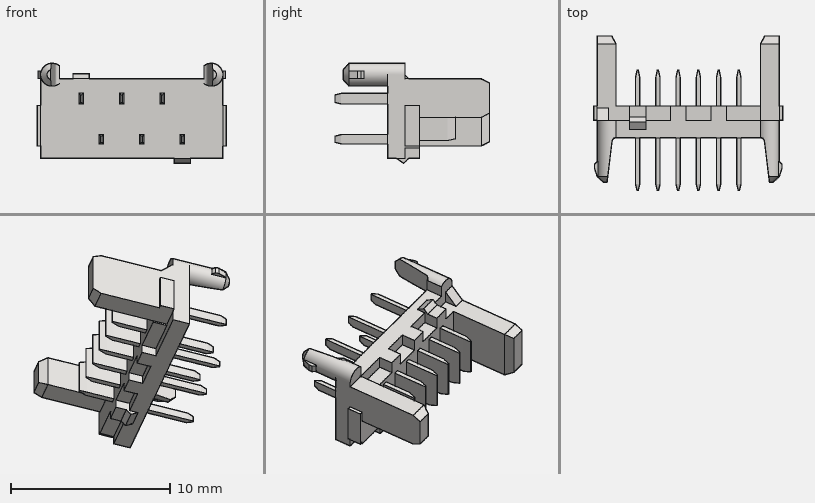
import cadquery as cq


overall_width = 11.86
plate_width = 11.43
plate_thick = 1.09
plate_height = 5.0
half_width = plate_width / 2

ledge_depth = 0.91
ledge_back = plate_thick + ledge_depth
ledge_bottom = 0.65
ledge_top = 4.19
tab_width = 0.98
ridge_tab_width = 1.04

ridge_height = 0.31
ridge_front = 0.53
ridge_peak = 1.01

arm_width = 1.2
arm_inner = half_width - arm_width
arm_end = 6.39
left_arm_bottom = 0.77
right_arm_bottom = 2.57
arm_tip_length = 0.52
arm_tip_inset = 0.27

rail_bottom = 0.77
rail_top = 3.32

peg_radius = 0.72
peg_tip_radius = 0.32
peg_x = half_width - peg_radius
peg_z = 5.25
peg_shoulder = 2.43
peg_end = 2.8
peg_root_x = 4.74
peg_end_x = 5.09
peg_root_fillet = 0.25
ramp_length = 0.78

barb_height = 0.49
barb_x = 5.9
barb_inner = half_width - peg_radius / 2
barb_root = 1.48
barb_crest_start = 1.67
barb_crest_end = 1.89

pin_pitch = 1.27
pin_count = 6
pin_width = 0.28
pin_tip_width = 0.08
pin_tip_inset = 0.11
leg_length = 3.31
leg_tip_length = 0.4
upper_leg_bottom = 3.4
upper_leg_height = 0.69
lower_leg_bottom = 0.9
lower_leg_height = 0.6
blade_end = 4.25
blade_tip_length = 0.47
blade_top = 3.88
blade_bottom = plate_height - blade_top


def block(x0, x1, y0, y1, z0, z1):
    """Box between two opposite corners."""
    return cq.Workplane("XY").box(x1 - x0, y1 - y0, z1 - z0, centered=False).translate((x0, y0, z0))


def mirrored(shape):
    """Copy of a left-hand feature on the right-hand side."""
    return shape.mirror("YZ")


def turned(shape):
    """Copy of a feature turned half a turn about the plate's mid-height Y axis."""
    return shape.rotate((0, 0, plate_height / 2), (0, 1, plate_height / 2), 180)


def profile_along_x(points, x0, x1):
    """Extrude a (y, z) outline from x0 to x1."""
    return cq.Workplane("YZ").polyline(points).close().extrude(x1 - x0).translate((x0, 0, 0))


def tab(x, width):
    """Full-height locating tab on top of the ledge."""
    return block(x - width / 2, x + width / 2, plate_thick, ledge_back, ledge_top, plate_height)


def ridge(x):
    """Triangular snap ridge along the top of the plate."""
    points = [
        (ridge_front, plate_height),
        (ridge_peak, plate_height + ridge_height),
        (ridge_peak + ridge_height, plate_height),
    ]
    return profile_along_x(points, x - ridge_tab_width / 2, x + ridge_tab_width / 2)


def left_arm(bottom, top):
    """Left guide arm whose tip slopes in at the top, bottom and inner side."""
    outer = -half_width
    inner = -arm_inner
    tip_start = arm_end - arm_tip_length
    side_outline = [
        (plate_thick, bottom),
        (tip_start, bottom),
        (arm_end, bottom + arm_tip_inset),
        (arm_end, top - arm_tip_inset),
        (tip_start, top),
        (plate_thick, top),
    ]
    plan_outline = [
        (outer, plate_thick),
        (inner, plate_thick),
        (inner, tip_start),
        (inner - arm_tip_inset, arm_end),
        (outer, arm_end),
    ]
    side = profile_along_x(side_outline, outer, inner)
    plan = cq.Workplane("XY").polyline(plan_outline).close().extrude(plate_height)
    return side.intersect(plan)


def left_peg():
    """Left snap peg: a round bar with its inner side cut away, on a pad, with a barb."""
    round_bar = (
        cq.Workplane("XY")
        .polyline([
            (0, plate_thick),
            (peg_radius, plate_thick),
            (peg_radius, -peg_shoulder),
            (peg_tip_radius, -peg_end),
            (0, -peg_end),
        ])
        .close()
        .revolve(360, (0, 0, 0), (0, 1, 0))
        .translate((-peg_x, 0, peg_z))
    )
    plan = (
        cq.Workplane("XY")
        .polyline([
            (-half_width, plate_thick),
            (-arm_inner, plate_thick),
            (-arm_inner, 0),
            (-peg_root_x, 0),
            (-peg_end_x, -peg_end),
            (-half_width, -peg_end),
        ])
        .close()
        .extrude(2 * peg_z)
        .edges(cq.NearestToPointSelector((-peg_root_x, 0, peg_z)))
        .fillet(peg_root_fillet)
    )
    pad = block(-half_width, -arm_inner, 0, plate_thick, plate_height - peg_radius, peg_z)
    barb = (
        cq.Workplane("XY")
        .polyline([
            (-barb_inner, -barb_root),
            (-half_width, -barb_root),
            (-barb_x, -barb_crest_start),
            (-barb_x, -barb_crest_end),
            (-half_width, -peg_shoulder),
            (-barb_inner, -peg_shoulder),
        ])
        .close()
        .extrude(barb_height)
        .translate((0, 0, peg_z - barb_height / 2))
    )
    return round_bar.intersect(plan).union(barb).union(pad)


def pin_bar(x, y_root, y_tip, tip_length, bottom, height):
    """Flat bar along Y from y_root to y_tip, ending in a tapered tip."""
    direction = 1 if y_tip > y_root else -1
    y_shoulder = y_tip - direction * tip_length
    bar = block(
        x - pin_width / 2, x + pin_width / 2,
        min(y_root, y_shoulder), max(y_root, y_shoulder),
        bottom, bottom + height,
    )
    tip = (
        cq.Workplane("XZ", origin=(x, y_shoulder, bottom + height / 2))
        .rect(pin_width, height)
        .workplane(offset=-direction * tip_length)
        .rect(pin_tip_width, height - 2 * pin_tip_inset)
        .loft(combine=True)
    )
    return bar.union(tip)


pin_xs = [(i - (pin_count - 1) / 2) * pin_pitch for i in range(pin_count)]
upper_pin_xs = pin_xs[0::2]

body = block(-half_width, half_width, 0, plate_thick, 0, plate_height)
body = body.union(block(-arm_inner, half_width, plate_thick, ledge_back, ledge_bottom, ledge_top))
for side in (-1, 1):
    outer_edges = sorted((side * arm_inner, side * overall_width / 2))
    body = body.union(block(*outer_edges, plate_thick, ledge_back, rail_bottom, rail_top))

for pin_x in upper_pin_xs:
    width = ridge_tab_width if pin_x == upper_pin_xs[0] else tab_width
    top_tab = tab(pin_x, width)
    bottom_tab = turned(top_tab)
    body = body.union(top_tab).union(bottom_tab)
top_ridge = ridge(upper_pin_xs[0])
body = body.union(top_ridge).union(turned(top_ridge))

body = body.union(left_arm(left_arm_bottom, ledge_top))
body = body.union(mirrored(left_arm(right_arm_bottom, plate_height)))
ramp_outline = [
    (plate_thick, ledge_top),
    (plate_thick + ramp_length, ledge_top),
    (plate_thick, plate_height),
]
body = body.union(profile_along_x(ramp_outline, -half_width, -peg_x))

peg = left_peg()
body = body.union(peg).union(mirrored(peg))

for pin_x in pin_xs:
    if pin_x in upper_pin_xs:
        leg_bottom, leg_height = upper_leg_bottom, upper_leg_height
    else:
        leg_bottom, leg_height = lower_leg_bottom, lower_leg_height
    leg = pin_bar(pin_x, plate_thick / 2, -leg_length, leg_tip_length, leg_bottom, leg_height)
    blade = pin_bar(
        pin_x, plate_thick, blade_end, blade_tip_length, blade_bottom, blade_top - blade_bottom
    )
    body = body.union(leg).union(blade)

result = body